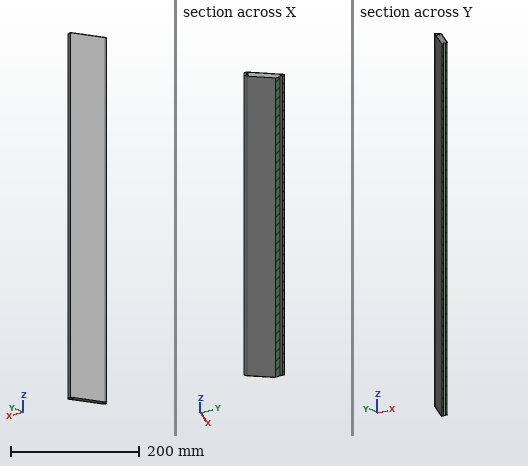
import cadquery as cq
import math

height = 600.0
thickness = 10.0
axis_length = 58.0
tilt = 61.0
hole_diameter = 3.3


end_radius = thickness / 2
far_hole_position = axis_length - end_radius
tilt_radians = math.radians(tilt)
x_size = end_radius + axis_length * math.cos(tilt_radians) + end_radius * math.sin(tilt_radians)
y_size = end_radius + axis_length * math.sin(tilt_radians) + end_radius * math.cos(tilt_radians)


def make_slat():
    """Upright slat with one rounded edge, centred on that edge's axis."""
    return (
        cq.Workplane("XY")
        .moveTo(0, end_radius)
        .threePointArc((-end_radius, 0), (0, -end_radius))
        .lineTo(axis_length, -end_radius)
        .lineTo(axis_length, end_radius)
        .close()
        .extrude(height)
    )


def make_bores():
    """Full-height bores near the two long edges."""
    return (
        cq.Workplane("XY")
        .pushPoints([(0, 0), (far_hole_position, 0)])
        .circle(hole_diameter / 2)
        .extrude(height)
    )


slat = make_slat().cut(make_bores()).rotate((0, 0, 0), (0, 0, 1), tilt)
result = slat.translate((end_radius - x_size / 2, end_radius - y_size / 2, -height / 2))